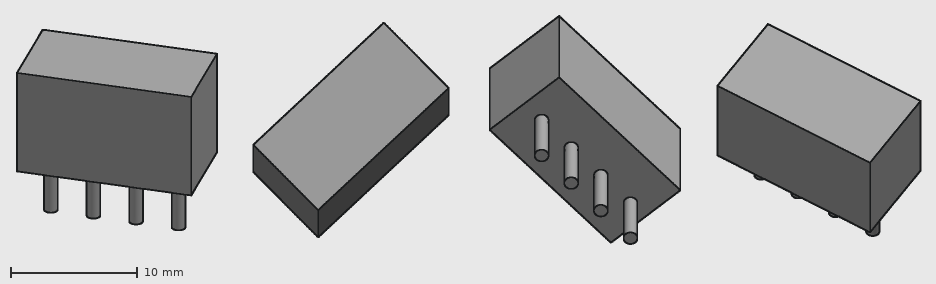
import cadquery as cq

housing_length = 14.35
housing_width = 7.4
housing_height = 8.9

pin_count = 4
pin_diameter = 1.1
pin_length = 5.1
pin_pitch = 3.5
first_pin_inset = 1.75
pin_row_y = -0.05


def make_housing():
    return cq.Workplane("XY").box(
        housing_length, housing_width, housing_height, centered=(True, True, False)
    )


def make_pin(x):
    return (
        cq.Workplane("XY")
        .center(x, pin_row_y)
        .circle(pin_diameter / 2)
        .extrude(-pin_length)
    )


housing = make_housing()

first_pin_x = -housing_length / 2 + first_pin_inset
pins = []
for index in range(pin_count):
    pins.append(make_pin(first_pin_x + index * pin_pitch))

result = cq.Compound.makeCompound([housing.val(), *[pin.val() for pin in pins]])